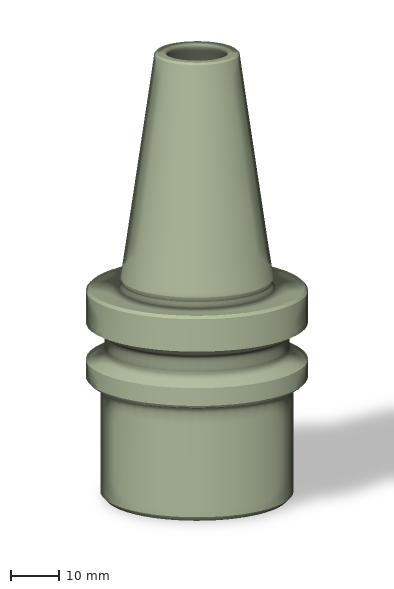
import cadquery as cq
import math

total_length = 95.4
seat_height = 24.4
flange_bottom = 25.2
groove_bottom = 31.8
groove_top = 35.2
flange_top = 44.9
neck_height = 46.0
taper_base = 47.0

nose_diameter = 40.0
flange_diameter = 46.0
groove_diameter = 38.3
relief_diameter = 32.4
neck_diameter = 31.0
gauge_diameter = 31.7
taper_ratio = 7 / 24

nose_chamfer = 1.05
seat_flare = 0.9
flange_chamfer = 0.6
groove_wall_height = 2.2
groove_fillet = 0.5
tip_chamfer = 0.4

bore_diameter = 10.1
pilot_diameter = 12.5
pilot_depth = 7.2
pilot_floor_height = 1.2
mouth_fillet = 0.7

nose_radius = nose_diameter / 2
flange_radius = flange_diameter / 2
groove_radius = groove_diameter / 2
gauge_radius = gauge_diameter / 2
bore_radius = bore_diameter / 2
pilot_radius = pilot_diameter / 2
tip_base = total_length - tip_chamfer
tip_radius = gauge_radius - (tip_base - taper_base) * taper_ratio / 2
pilot_floor = total_length - pilot_depth


def revolve_profile(points):
    """Revolve a closed (radius, height) outline about the Z axis."""
    return cq.Workplane("XZ").polyline(points).close().revolve(360, (0, 0), (0, 1))


def make_body():
    """Solid holder: nose, grooved flange, relieved neck and taper."""
    nose = [
        (0, 0),
        (nose_radius - nose_chamfer, 0),
        (nose_radius, nose_chamfer),
        (nose_radius, seat_height),
        (nose_radius + seat_flare, flange_bottom),
    ]
    flange = [
        (flange_radius - flange_chamfer, flange_bottom),
        (flange_radius, flange_bottom + flange_chamfer),
        (flange_radius, groove_bottom - groove_wall_height),
        (groove_radius, groove_bottom),
        (groove_radius, groove_top),
        (flange_radius, groove_top + groove_wall_height),
        (flange_radius, flange_top - flange_chamfer),
        (flange_radius - flange_chamfer, flange_top),
    ]
    taper = [
        (relief_diameter / 2, flange_top),
        (neck_diameter / 2, neck_height),
        (gauge_radius, taper_base),
        (tip_radius, tip_base),
        (tip_radius - tip_chamfer, total_length),
        (0, total_length),
    ]
    return revolve_profile(nose + flange + taper)


def make_bore():
    """Through bore, opening by a cone into the pilot bore with a rounded mouth."""
    mouth_bottom = total_length - mouth_fillet
    mouth_radius = pilot_radius + mouth_fillet
    arc_offset = mouth_fillet * math.cos(math.pi / 4)
    return (
        cq.Workplane("XZ")
        .moveTo(0, 0)
        .lineTo(bore_radius, 0)
        .lineTo(bore_radius, pilot_floor - pilot_floor_height)
        .lineTo(pilot_radius, pilot_floor)
        .lineTo(pilot_radius, mouth_bottom)
        .threePointArc(
            (mouth_radius - arc_offset, mouth_bottom + arc_offset),
            (mouth_radius, total_length),
        )
        .lineTo(0, total_length)
        .close()
        .revolve(360, (0, 0), (0, 1))
    )


def round_groove_floor(body):
    """Round the two circular corners at the floor of the flange groove."""
    low_corner = (-flange_radius, -flange_radius, groove_bottom - groove_wall_height / 2)
    high_corner = (flange_radius, flange_radius, groove_top + groove_wall_height / 2)
    groove_zone = cq.selectors.BoxSelector(low_corner, high_corner)
    return body.edges("%CIRCLE").edges(groove_zone).fillet(groove_fillet)


result = round_groove_floor(make_body()).cut(make_bore())